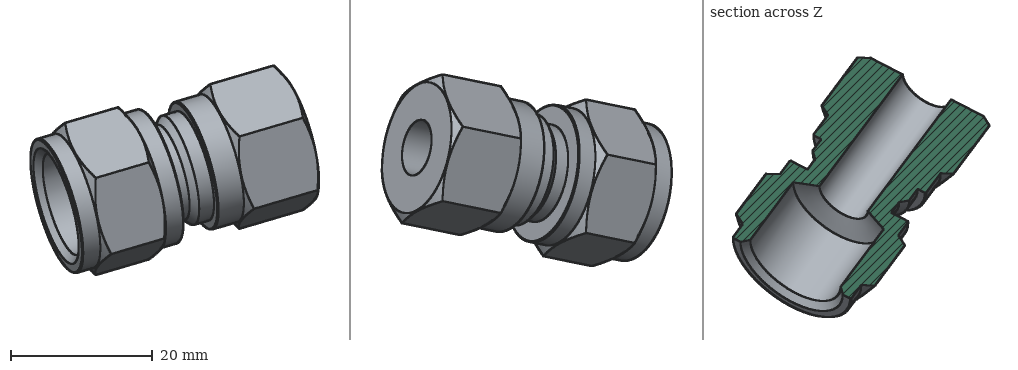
import cadquery as cq
import math

front_hex_start = 2.75
front_hex_end = 12.75
front_nut_end = 15.5
neck_end = 17.5
shoulder_start = 18.55
shoulder_end = 20.8
collar_end = 24.8
total_length = 36.27

front_across_flats = 20.0
rear_across_flats = 19.0
front_nut_diameter = 19.75
neck_diameter = 14.0
shoulder_diameter = 16.1
collar_diameter = 18.8
edge_chamfer = 0.15
hex_chamfer_angle = 30.0

mouth_diameter = 17.0
socket_diameter = 15.0
through_diameter = 8.0
mouth_depth = 1.0
socket_depth = 12.5
seat_half_angle = 68.0


def revolve_profile(points):
    """Revolve (radius, y) points about the Y axis."""
    return cq.Workplane("XY").polyline(points).close().revolve(360, (0, 0, 0), (0, 1, 0))


def cylinder(diameter, start, end):
    radius = diameter / 2
    return revolve_profile([(0, start), (radius, start), (radius, end), (0, end)])


def chamfered_hexagon(across_flats, face_diameter, start, end):
    """Hexagonal prism along Y with both ends turned to a shallow cone."""
    corner_radius = across_flats / math.sqrt(3)
    face_radius = face_diameter / 2
    drop = (corner_radius - face_radius) * math.tan(math.radians(hex_chamfer_angle))
    prism = (
        cq.Workplane("XZ", origin=(0, start, 0))
        .polygon(6, 2 * corner_radius)
        .extrude(start - end)
    )
    envelope = revolve_profile([
        (0, start),
        (face_radius, start),
        (corner_radius, start + drop),
        (corner_radius, end - drop),
        (face_radius, end),
        (0, end),
    ])
    return prism.intersect(envelope)


def front_nut():
    barrel = cylinder(front_nut_diameter, 0, front_nut_end)
    barrel = barrel.faces("<Y or >Y").edges().chamfer(edge_chamfer)
    hexagon = chamfered_hexagon(
        front_across_flats, front_nut_diameter, front_hex_start, front_hex_end
    )
    return barrel.union(hexagon)


def neck_and_shoulder():
    neck_radius = neck_diameter / 2
    shoulder_radius = shoulder_diameter / 2
    return revolve_profile([
        (0, front_nut_end),
        (neck_radius, front_nut_end),
        (neck_radius, neck_end),
        (shoulder_radius, shoulder_start),
        (shoulder_radius, shoulder_end),
        (0, shoulder_end),
    ])


def rear_nut():
    collar = cylinder(collar_diameter, shoulder_end, collar_end)
    collar = collar.faces("<Y").edges().chamfer(edge_chamfer)
    hexagon = chamfered_hexagon(rear_across_flats, collar_diameter, collar_end, total_length)
    return collar.union(hexagon)


def bore():
    """Countersunk tube socket, conical seat and through hole."""
    mouth_radius = mouth_diameter / 2
    socket_radius = socket_diameter / 2
    through_radius = through_diameter / 2
    seat_length = (socket_radius - through_radius) / math.tan(math.radians(seat_half_angle))
    return revolve_profile([
        (0, 0),
        (mouth_radius, 0),
        (socket_radius, mouth_depth),
        (socket_radius, socket_depth),
        (through_radius, socket_depth + seat_length),
        (through_radius, total_length),
        (0, total_length),
    ])


result = front_nut().union(neck_and_shoulder()).union(rear_nut()).cut(bore())